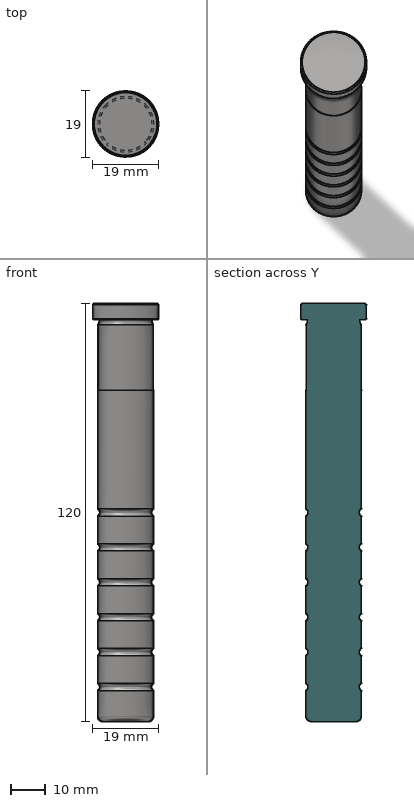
import cadquery as cq

length = 120
head_radius = 9.5
head_height = 4.8
head_top_chamfer = 0.5
head_bottom_chamfer = 0.4

shank_radius = 16.1 / 2
upper_shank_radius = 16.0 / 2
upper_shank_bottom = 95.0
lower_end_fillet = 1.7

neck_radius = 7.5
neck_height = 1.5

groove_count = 6
groove_pitch = length / 12
groove_depth = 0.6
groove_width = 2.0

head_bottom = length - head_height


def make_shank():
    lower = cq.Workplane("XY").circle(shank_radius).extrude(upper_shank_bottom)
    lower = lower.faces("<Z").edges().fillet(lower_end_fillet)
    upper_height = head_bottom - upper_shank_bottom
    upper = cq.Workplane("XY").workplane(offset=upper_shank_bottom)
    upper = upper.circle(upper_shank_radius).extrude(upper_height)
    return lower.union(upper)


def make_head():
    head = cq.Workplane("XY").workplane(offset=head_bottom).circle(head_radius).extrude(head_height)
    head = head.faces(">Z").edges().chamfer(head_top_chamfer)
    return head.faces("<Z").edges().chamfer(head_bottom_chamfer)


def revolve_about_axis(profile):
    return profile.close().revolve(360, (0, 0, 0), (0, 1, 0))


def make_neck_cut():
    neck_bow = (upper_shank_radius - neck_radius) / 4
    profile = (
        cq.Workplane("XZ")
        .moveTo(upper_shank_radius, head_bottom)
        .lineTo(neck_radius, head_bottom)
        .threePointArc(
            (neck_radius + neck_bow, head_bottom - neck_height / 2),
            (upper_shank_radius, head_bottom - neck_height),
        )
    )
    return revolve_about_axis(profile)


def make_groove_cut(height):
    profile = (
        cq.Workplane("XZ")
        .moveTo(shank_radius, height - groove_width / 2)
        .threePointArc(
            (shank_radius - groove_depth, height),
            (shank_radius, height + groove_width / 2),
        )
    )
    return revolve_about_axis(profile)


shank = make_shank().cut(make_neck_cut())
for index in range(groove_count):
    shank = shank.cut(make_groove_cut((index + 1) * groove_pitch))

result = shank.union(make_head())